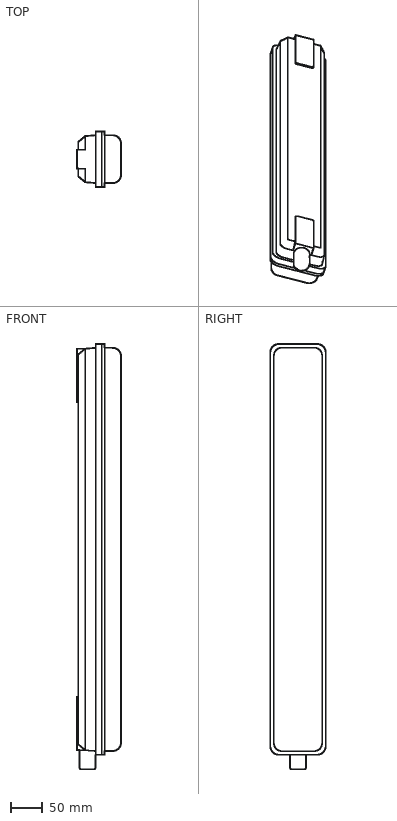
import cadquery as cq

total_length = 680.0
total_depth = 71.0
flange_width = 89.0

flange_bottom_z = 23.0
flange_length = total_length - flange_bottom_z
flange_mid_z = flange_bottom_z + flange_length / 2
flange_corner_radius = 14.0
flange_back_x = 30.0
parting_x = 40.0
flange_front_x = 44.0

wall_inset = 6.0
wall_width = flange_width - 2 * wall_inset
wall_length = flange_length - 2 * wall_inset
wall_corner_radius = 11.5
draft_inset = 1.5

housing_back_x = 2.0
shoulder_x = 13.5
bevel_inset = 9.5
back_corner_radius = 1.5

pad_width = 30.5
pad_length = 86.0
pad_corner_radius = 3.5
shoulder_half_length = wall_length / 2 - draft_inset

cover_corner_radius = 12.0
cover_edge_radius = 13.5

connector_diameter = 26.0
connector_tip_diameter = 20.0
connector_tip_radius = (connector_diameter - connector_tip_diameter) / 2
connector_x = flange_back_x - connector_diameter / 2
connector_seat_z = 34.0


def rounded_outline(x, width, length, corner_radius):
    """Rounded rectangle parallel to the YZ plane at x."""
    outline = cq.Sketch().rect(width, length).vertices().fillet(corner_radius)
    return cq.Workplane("YZ", origin=(x, 0, flange_mid_z)).placeSketch(outline)


def flange_slab(x_start, x_end):
    """Slice of the flange rim between two X positions."""
    outline = rounded_outline(x_start, flange_width, flange_length, flange_corner_radius)
    return outline.extrude(x_end - x_start)


def wall_loft(x_start, inset_start, radius_start, x_end, inset_end, radius_end):
    """Straight-sided transition between two inset wall outlines."""
    wires = []
    for x, inset, radius in ((x_start, inset_start, radius_start), (x_end, inset_end, radius_end)):
        outline = rounded_outline(x, wall_width - 2 * inset, wall_length - 2 * inset, radius)
        wires.append(outline.extrude(7).faces("<X").wires().val())
    return cq.Workplane(cq.Solid.makeLoft(wires, True))


def make_pad(end_sign):
    """Mounting pad at the upper (+1) or lower (-1) end, rounded at its inner corners."""
    center_z = flange_mid_z + end_sign * (shoulder_half_length - pad_length / 2)
    pad = cq.Workplane("YZ", origin=(0, 0, center_z)).rect(pad_width, pad_length).extrude(shoulder_x)
    inner_face = "<Z" if end_sign > 0 else ">Z"
    return pad.faces(inner_face).edges("|X").fillet(pad_corner_radius)


def make_connector():
    """Round connector with a rounded tip, standing along Z."""
    connector = cq.Workplane("XY", origin=(connector_x, 0, 0))
    connector = connector.circle(connector_diameter / 2).extrude(connector_seat_z)
    return connector.faces("<Z").edges().fillet(connector_tip_radius)


def make_housing(connector):
    """Back half with its flange rim, pads and the recess that seats the connector."""
    bevel_end_inset = draft_inset + bevel_inset
    housing = flange_slab(flange_back_x, parting_x)
    wall = wall_loft(shoulder_x, draft_inset, wall_corner_radius, flange_back_x, 0, wall_corner_radius)
    bevel = wall_loft(
        housing_back_x, bevel_end_inset, back_corner_radius, shoulder_x, draft_inset, wall_corner_radius
    )
    housing = housing.union(wall).union(bevel)
    for end_sign in (1, -1):
        housing = housing.union(make_pad(end_sign))
    return housing.cut(connector)


def make_cover():
    """Front half with its flange rim and rounded outer edge."""
    rim = flange_slab(parting_x, flange_front_x)
    dome = rounded_outline(flange_front_x, wall_width, wall_length, cover_corner_radius)
    dome = dome.extrude(total_depth - flange_front_x)
    dome = dome.faces(">X").edges().fillet(cover_edge_radius)
    return rim.union(dome)


connector = make_connector()
housing = make_housing(connector)
cover = make_cover()

result = cq.Compound.makeCompound([housing.val(), cover.val(), connector.val()])